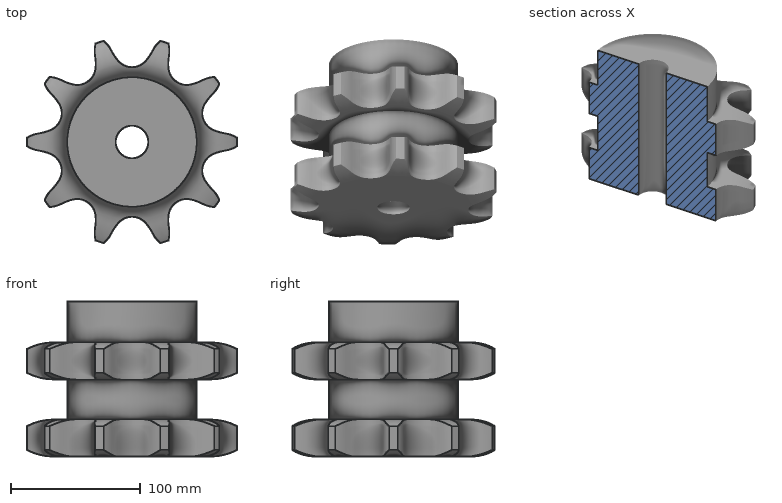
import cadquery as cq
import math

tooth_count = 10
chain_pitch = 44.45
roller_diameter = 27.94
row_spacing = 59.56
tooth_width = 28.8
tip_diameter = 162.3

hub_diameter = 100.0
hub_height = 120.0
bore_diameter = 25.0

relief_radius = chain_pitch
relief_depth = 5.2

half_tooth_angle = math.pi / tooth_count
pitch_radius = chain_pitch / (2 * math.sin(half_tooth_angle))
tip_radius = tip_diameter / 2
relief_reach = math.sqrt(2 * relief_radius * relief_depth - relief_depth**2)
flat_side_radius = tip_radius - relief_reach

seat_clearance = 0.0762
seat_diameter = 1.005 * roller_diameter + seat_clearance
seat_radius = seat_diameter / 2
seat_angle = math.radians(35 + 60 / tooth_count)
working_angle = math.radians(18 - 56 / tooth_count)
flank_angle = seat_angle - working_angle
working_center_offset = 0.8 * roller_diameter
working_radius = seat_radius + working_center_offset
topping_center_offset = 1.4 * roller_diameter


def polar_point(center, radius, angle):
    """Point at a radius and angle (radians) from a center."""
    return (center[0] + radius * math.cos(angle), center[1] + radius * math.sin(angle))


def tooth_gap():
    """Cutter for one tooth gap, centered on the +Y axis and one tooth wide."""
    seat_center = (0.0, pitch_radius)
    working_center = polar_point(seat_center, working_center_offset, seat_angle)
    topping_center = polar_point(seat_center, topping_center_offset, math.pi + half_tooth_angle)

    center_dx = working_center[0] - topping_center[0]
    center_dy = working_center[1] - topping_center[1]
    center_gap = center_dx * math.cos(flank_angle) + center_dy * math.sin(flank_angle)
    topping_radius = center_gap - working_radius

    bottom = (0.0, pitch_radius - seat_radius)
    seat_end = polar_point(seat_center, seat_radius, math.pi + seat_angle)
    working_middle = polar_point(working_center, working_radius, math.pi + seat_angle - working_angle / 2)
    working_end = polar_point(working_center, working_radius, math.pi + flank_angle)
    topping_start = polar_point(topping_center, topping_radius, flank_angle)

    topping_center_radius = math.hypot(*topping_center)
    cos_to_tip = (tip_radius**2 - topping_center_radius**2 - topping_radius**2) / (
        2 * topping_center_radius * topping_radius
    )
    outward_angle = math.atan2(topping_center[1], topping_center[0])
    tip_angle = outward_angle - math.acos(cos_to_tip)
    topping_middle = polar_point(topping_center, topping_radius, (flank_angle + tip_angle) / 2)
    tip = polar_point(topping_center, topping_radius, tip_angle)
    clear_of_tip = (tip[0], tip_radius + seat_radius)

    def mirrored(point):
        return (-point[0], point[1])

    return (
        cq.Workplane("XY")
        .moveTo(*clear_of_tip)
        .lineTo(*tip)
        .threePointArc(topping_middle, topping_start)
        .lineTo(*working_end)
        .threePointArc(working_middle, seat_end)
        .threePointArc(bottom, mirrored(seat_end))
        .threePointArc(mirrored(working_middle), mirrored(working_end))
        .lineTo(*mirrored(topping_start))
        .threePointArc(mirrored(topping_middle), mirrored(tip))
        .lineTo(*mirrored(clear_of_tip))
        .close()
        .extrude(tooth_width)
    )


def toothed_disc():
    """One toothed disc with its lower side on Z = 0 and a tooth on the X axis."""
    half_arc_angle = math.asin(relief_reach / relief_radius) / 2
    arc_middle_radius = flat_side_radius + relief_radius * math.sin(half_arc_angle)
    arc_middle_height = relief_radius * (1 - math.cos(half_arc_angle))
    disc = (
        cq.Workplane("XZ")
        .lineTo(flat_side_radius, 0)
        .threePointArc((arc_middle_radius, arc_middle_height), (tip_radius, relief_depth))
        .lineTo(tip_radius, tooth_width - relief_depth)
        .threePointArc(
            (arc_middle_radius, tooth_width - arc_middle_height), (flat_side_radius, tooth_width)
        )
        .lineTo(0, tooth_width)
        .close()
        .revolve(360, (0, 0, 0), (0, 1, 0))
    )
    gap = tooth_gap()
    for index in range(tooth_count):
        disc = disc.cut(gap.rotate((0, 0, 0), (0, 0, 1), index * 360 / tooth_count))
    return disc


def hub():
    """Plain cylinder that carries both toothed discs."""
    return cq.Workplane("XY").circle(hub_diameter / 2).extrude(hub_height)


def bore():
    """Through hole on the axis."""
    return cq.Workplane("XY").circle(bore_diameter / 2).extrude(hub_height)


disc = toothed_disc()
result = hub().union(disc).union(disc.translate((0, 0, row_spacing))).cut(bore())